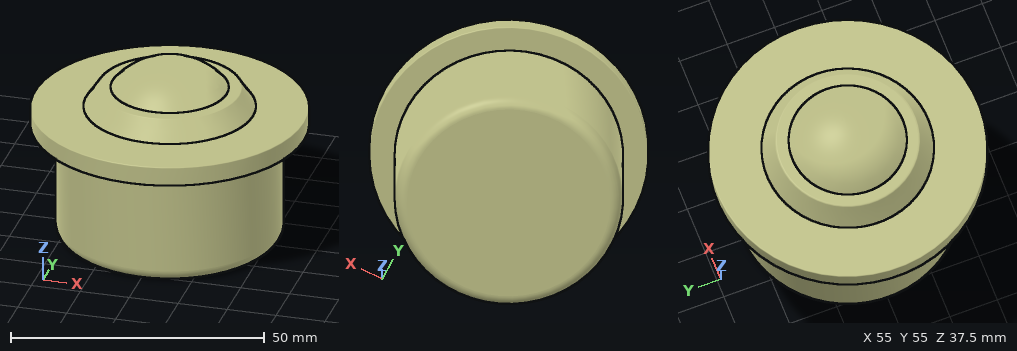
import cadquery as cq

flange_diameter = 55.0
body_diameter = 45.0
collar_base_diameter = 34.0
collar_top_diameter = 28.3
ball_diameter = 30.0

total_height = 37.5
flange_bottom = 23.7
flange_thickness = 4.05
collar_height = 4.2

base_fillet = 2.5
flange_edge_fillet = 0.3
collar_edge_fillet = 0.5

flange_top = flange_bottom + flange_thickness


def make_body():
    """Cylindrical housing with a rounded lower edge."""
    body = cq.Workplane("XY").circle(body_diameter / 2).extrude(flange_top)
    return body.faces("<Z").edges().fillet(base_fillet)


def make_flange():
    """Mounting flange with both rims slightly rounded."""
    flange = cq.Workplane("XY").workplane(offset=flange_bottom)
    flange = flange.circle(flange_diameter / 2).extrude(flange_thickness)
    return flange.faces("<Z or >Z").edges().fillet(flange_edge_fillet)


def make_collar():
    """Conical collar that retains the ball, with its upper edge rounded."""
    collar = (
        cq.Workplane("XY")
        .workplane(offset=flange_top)
        .circle(collar_base_diameter / 2)
        .workplane(offset=collar_height)
        .circle(collar_top_diameter / 2)
        .loft(ruled=True)
    )
    return collar.faces(">Z").edges().fillet(collar_edge_fillet)


def make_ball():
    """Ball whose crown reaches the full height of the part."""
    ball_center = total_height - ball_diameter / 2
    return cq.Workplane("XY").sphere(ball_diameter / 2).translate((0, 0, ball_center))


result = make_body().union(make_flange()).union(make_collar()).union(make_ball())